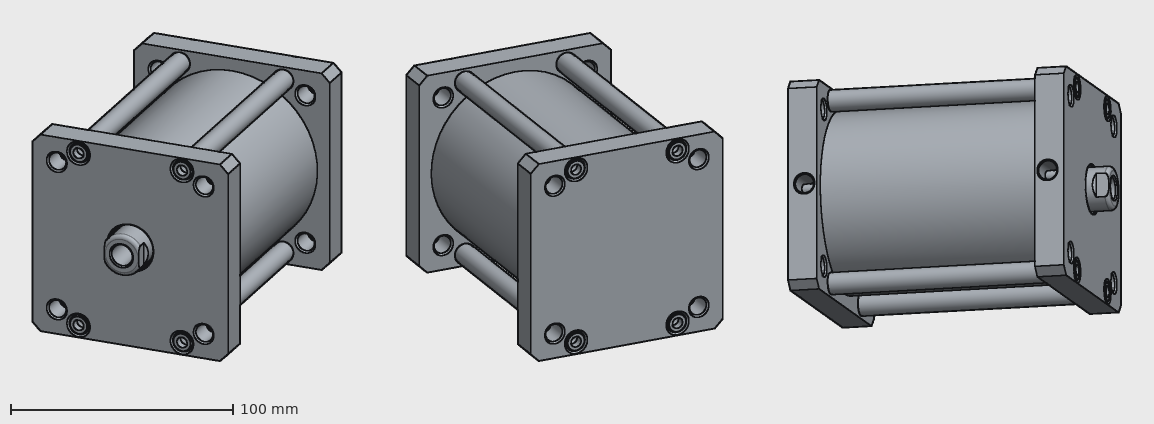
import cadquery as cq
import math

overall_length = 139.0
plate_side = 96.0
plate_thickness = 13.5
plate_corner_chamfer = 4.0
rod_projection = 10.0

mount_spacing = 72.0
mount_hole_diameter = 8.3
mount_hole_chamfer = 0.8

port_diameter = 8.6
port_chamfer = 0.5
port_depth = 19.5
port_from_barrel = 5.8
cross_bar_diameter = 5.0
cross_bar_depth = 13.9

barrel_diameter = 84.0

tie_spacing_x = 50.7
tie_spacing_z = 84.0
tie_diameter = 10.0
tie_shoulder_chamfer = 0.3
tie_end_diameter = 9.5
tie_end_chamfer = 0.5
tie_hole_chamfer = 1.0
socket_diameter = 5.0
socket_depth = 4.2

rod_diameter = 20.0
rod_tip_fillet = 2.0
rod_hole_diameter = 10.1
rod_hole_chamfer = 0.7
rod_hole_depth = 16.7
flat_width = 16.8
flat_length = 5.8
flat_runout = 1.4

rod_bore_diameter = 20.6
seal_recess_diameter = 22.0
seal_recess_depth = 2.8
seal_recess_chamfer = 0.49

drill_point_angle = 118.0
rod_hole_point_angle = 160.0

rear_face_y = overall_length / 2
barrel_rear_y = rear_face_y - plate_thickness
rod_tip_y = -overall_length / 2
front_face_y = rod_tip_y + rod_projection
barrel_front_y = front_face_y + plate_thickness

SIGNS = (-1, 1)
TOWARD_REAR = cq.Vector(0, 1, 0)
TOWARD_FRONT = cq.Vector(0, -1, 0)
INTO_PORT = cq.Vector(1, 0, 0)


def grid_of_four(spacing_x, spacing_z):
    """X and Z places of four features at the corners of a rectangle."""
    return [(sx * spacing_x / 2, sz * spacing_z / 2) for sx in SIGNS for sz in SIGNS]


def rod_along_y(diameter, y_start, y_end, x=0, z=0):
    """Plain cylinder parallel to Y."""
    return cq.Solid.makeCylinder(diameter / 2, y_end - y_start, cq.Vector(x, y_start, z), TOWARD_REAR)


def countersink(diameter, chamfer, mouth, direction):
    """45 degree cone that breaks the mouth of a hole."""
    return cq.Solid.makeCone(diameter / 2 + chamfer, diameter / 2, chamfer, mouth, direction)


def blind_hole(diameter, depth, mouth, direction, point_angle=drill_point_angle):
    """Drilled hole with a conical bottom."""
    point_length = diameter / 2 / math.tan(math.radians(point_angle / 2))
    bore = cq.Solid.makeCylinder(diameter / 2, depth, mouth, direction)
    point = cq.Solid.makeCone(diameter / 2, 0, point_length, mouth + direction * depth, direction)
    return bore.fuse(point)


def make_plate(y_front, port_y, outer_y, inward):
    """Square end plate with mounting holes, tie rod holes and an air port.

    `outer_y` is the face away from the barrel and `inward` points from it into the plate.
    """
    y_back = y_front + plate_thickness
    plate = (
        cq.Workplane("XY")
        .box(plate_side, plate_thickness, plate_side)
        .edges("|Y")
        .chamfer(plate_corner_chamfer)
        .translate((0, y_front + plate_thickness / 2, 0))
    )
    for x, z in grid_of_four(mount_spacing, mount_spacing):
        plate = plate.cut(rod_along_y(mount_hole_diameter, y_front, y_back, x, z))
        for y, direction in ((y_front, TOWARD_REAR), (y_back, TOWARD_FRONT)):
            mouth = cq.Vector(x, y, z)
            plate = plate.cut(countersink(mount_hole_diameter, mount_hole_chamfer, mouth, direction))
    for x, z in grid_of_four(tie_spacing_x, tie_spacing_z):
        plate = plate.cut(rod_along_y(tie_end_diameter, y_front, y_back, x, z))
        mouth = cq.Vector(x, outer_y, z)
        plate = plate.cut(countersink(tie_end_diameter, tie_hole_chamfer, mouth, inward))

    port_mouth = cq.Vector(-plate_side / 2, port_y, 0)
    plate = plate.cut(blind_hole(port_diameter, port_depth, port_mouth, INTO_PORT))
    plate = plate.cut(countersink(port_diameter, port_chamfer, port_mouth, INTO_PORT))
    bar_x = -plate_side / 2 + cross_bar_depth
    return plate.union(cq.Workplane(rod_along_y(cross_bar_diameter, y_front, y_back, bar_x)))


def make_rear_plate():
    """End plate that closes the barrel."""
    return make_plate(barrel_rear_y, barrel_rear_y + port_from_barrel, rear_face_y, TOWARD_FRONT)


def make_front_plate():
    """End plate with the rod bore and the seal recess around the rod."""
    plate = make_plate(front_face_y, barrel_front_y - port_from_barrel, front_face_y, TOWARD_REAR)
    plate = plate.cut(rod_along_y(rod_bore_diameter, front_face_y, barrel_front_y))
    recess = rod_along_y(seal_recess_diameter, front_face_y, front_face_y + seal_recess_depth)
    mouth = cq.Vector(0, front_face_y, 0)
    return plate.cut(recess).cut(countersink(seal_recess_diameter, seal_recess_chamfer, mouth, TOWARD_REAR))


def make_barrel():
    """Plain barrel between the two plates."""
    return cq.Workplane(rod_along_y(barrel_diameter, barrel_front_y, barrel_rear_y))


def make_tie_rod(x, z):
    """Rod with chamfered shoulders between the plates and a socket in each end."""
    shank = cq.Workplane(rod_along_y(tie_diameter, barrel_front_y, barrel_rear_y, x, z))
    shank = shank.faces("<Y or >Y").chamfer(tie_shoulder_chamfer)
    ends = cq.Workplane(rod_along_y(tie_end_diameter, front_face_y, rear_face_y, x, z))
    ends = ends.faces("<Y or >Y").chamfer(tie_end_chamfer)
    tie_rod = shank.union(ends)
    for y, direction in ((front_face_y, TOWARD_REAR), (rear_face_y, TOWARD_FRONT)):
        tie_rod = tie_rod.cut(blind_hole(socket_diameter, socket_depth, cq.Vector(x, y, z), direction))
    return tie_rod


def flat_cutter():
    """Block that cuts the +X wrench flat, with a sloping runout."""
    flat_x = flat_width / 2
    rod_radius = rod_diameter / 2
    flat_end_y = rod_tip_y + flat_length
    return (
        cq.Workplane("XY")
        .moveTo(flat_x, rod_tip_y)
        .lineTo(flat_x, flat_end_y)
        .lineTo(rod_radius, flat_end_y + flat_runout)
        .lineTo(rod_radius, rod_tip_y)
        .close()
        .extrude(rod_radius, both=True)
    )


def make_piston_rod():
    """Rod with a rounded tip, two wrench flats and a blind hole in its end."""
    rod = cq.Workplane(rod_along_y(rod_diameter, rod_tip_y, barrel_front_y))
    rod = rod.faces("<Y").edges().fillet(rod_tip_fillet)
    rod = rod.cut(flat_cutter()).cut(flat_cutter().mirror("YZ"))
    mouth = cq.Vector(0, rod_tip_y, 0)
    hole = blind_hole(rod_hole_diameter, rod_hole_depth, mouth, TOWARD_REAR, rod_hole_point_angle)
    rod = rod.cut(hole)
    return rod.cut(countersink(rod_hole_diameter, rod_hole_chamfer, mouth, TOWARD_REAR))


rear_plate = make_rear_plate()
front_plate = make_front_plate()
barrel = make_barrel()
piston_rod = make_piston_rod()
tie_rods = [make_tie_rod(x, z) for x, z in grid_of_four(tie_spacing_x, tie_spacing_z)]

result = cq.Compound.makeCompound(
    [rear_plate.val(), front_plate.val(), barrel.val(), piston_rod.val()]
    + [tie_rod.val() for tie_rod in tie_rods]
)